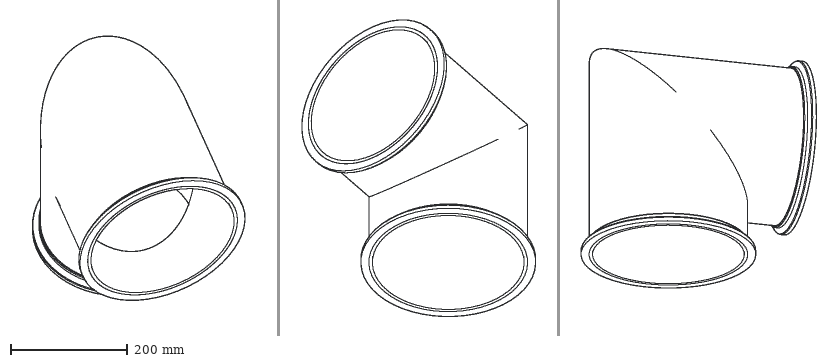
import cadquery as cq

overall_length = 373.5
flange_diameter = 301.0
flange_radius = flange_diameter / 2
leg_length = overall_length - flange_radius

tube_outer_diameter = 273.0
tube_bore = 261.0

hub_radius = 279.0 / 2
hub_height = 19.5
hub_chamfer = 1.5
cone_top_height = 12.7
cone_base_height = 8.5
cone_base_radius = 149.5
rim_height = 6.7


def make_elbow():
    """Hollow tube turned through a sharp 90 degree mitre."""
    path = cq.Workplane("XZ").moveTo(0, -leg_length).lineTo(0, 0).lineTo(leg_length, 0)
    return (
        cq.Workplane("XY", origin=(0, 0, -leg_length))
        .circle(tube_outer_diameter / 2)
        .circle(tube_bore / 2)
        .sweep(path, transition="right")
    )


def make_flange(end_plane):
    """Collar around the tube end, turned about the normal of end_plane."""
    bore_radius = tube_outer_diameter / 2
    profile = [
        (bore_radius, 0),
        (flange_radius, 0),
        (flange_radius, rim_height),
        (cone_base_radius, cone_base_height),
        (hub_radius, cone_top_height),
        (hub_radius, hub_height - hub_chamfer),
        (hub_radius - hub_chamfer, hub_height),
        (bore_radius, hub_height),
    ]
    return cq.Workplane(end_plane).polyline(profile).close().revolve(360, (0, 0), (0, 1))


flange_planes = [
    cq.Plane(origin=(0, 0, -leg_length), xDir=(1, 0, 0), normal=(0, -1, 0)),
    cq.Plane(origin=(leg_length, 0, 0), xDir=(0, 0, 1), normal=(0, -1, 0)),
]

elbow = make_elbow()
flanges = [make_flange(end_plane) for end_plane in flange_planes]

result = cq.Compound.makeCompound([elbow.val(), *[flange.val() for flange in flanges]])